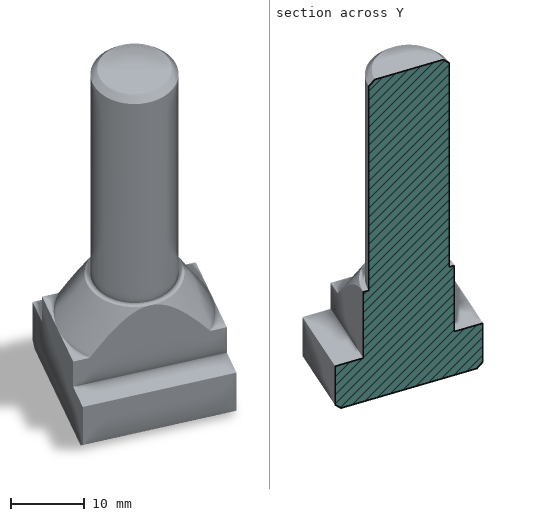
import cadquery as cq
import math

base_side = 22.0
base_height = 8.0
base_edge_chamfer = 0.92
total_height = 58.0

neck_width = 13.6
neck_top_z = 20.0
cone_angle = 60.0

shank_diameter = 12.0
shank_tip_chamfer = 0.92

cone_bottom_radius = base_side / 2
cone_top_radius = neck_width / 2
cone_height = (cone_bottom_radius - cone_top_radius) * math.tan(math.radians(cone_angle))
cone_bottom_z = neck_top_z - cone_height


def make_base():
    """Square head with chamfered lower edges, resting on Z = 0."""
    block = cq.Workplane("XY").box(base_side, base_side, base_height, centered=(True, True, False))
    return block.faces("<Z").edges("|Y").chamfer(base_edge_chamfer)


def make_neck():
    """Straight-sided block with a cone above it, cut to the neck width."""
    block_height = cone_bottom_z - base_height
    block = (
        cq.Workplane("XY")
        .workplane(offset=base_height)
        .box(neck_width, base_side, block_height, centered=(True, True, False))
    )
    cone = cq.Workplane(
        cq.Solid.makeCone(
            cone_bottom_radius,
            cone_top_radius,
            cone_height,
            pnt=cq.Vector(0, 0, cone_bottom_z),
        )
    )
    flats = (
        cq.Workplane("XY")
        .workplane(offset=cone_bottom_z)
        .box(neck_width, base_side, cone_height, centered=(True, True, False))
    )
    return block.union(cone.intersect(flats))


def make_shank():
    """Round shank with a chamfered tip."""
    return (
        cq.Workplane("XY")
        .workplane(offset=neck_top_z)
        .circle(shank_diameter / 2)
        .extrude(total_height - neck_top_z)
        .faces(">Z")
        .chamfer(shank_tip_chamfer)
    )


result = make_base().union(make_neck()).union(make_shank())